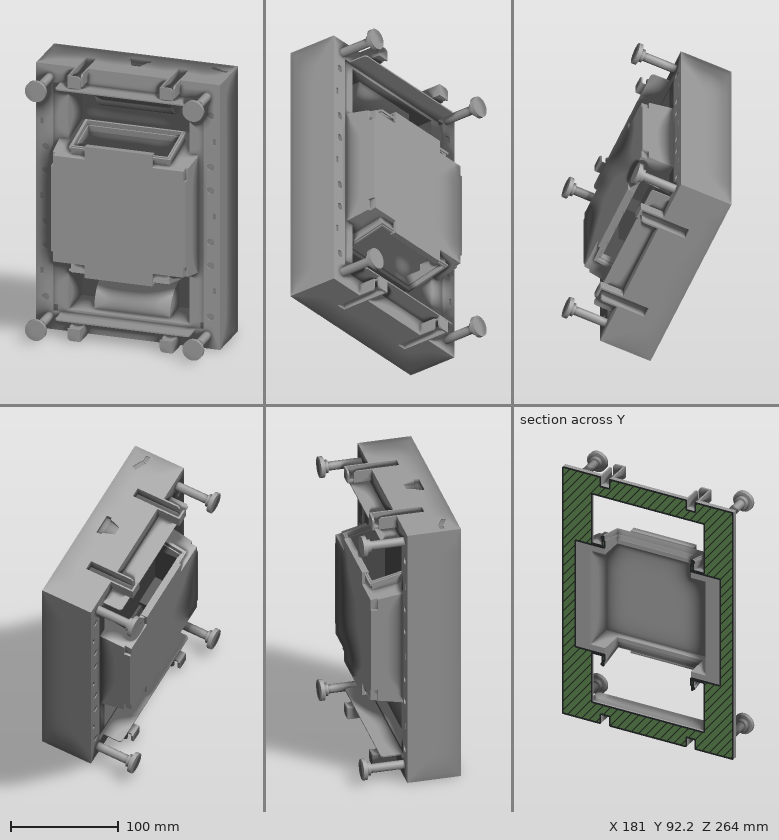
import cadquery as cq
import math

HOUSING_WIDTH = 181.0
HOUSING_HEIGHT = 264.0
HOUSING_DEPTH = 51.5

POCKET_WIDTH = 118.8
POCKET_HEIGHT = 223.0
POCKET_DEPTH = 39.0
POCKET_DRAFT = 1.5

RECESS_WIDTH = 148.0
RECESS_HEIGHT = 228.7
RECESS_DEPTH = 2.5
RELIEF_WIDTH = 4.0
RELIEF_HEIGHT = 6.5
RELIEF_DEPTH = 4.8

ROLL_LENGTH = 74.5
ROLL_RADIUS = 27.7

FLAP_WIDTH = 132.0
FLAP_REACH = 18.8
FLAP_THICKNESS = 1.3
FLAP_CORNER = 3.2

HOOK_X = 45.5
HOOK_WIDTH = 12.7
HOOK_HEIGHT = 12.0
HOOK_REACH = 23.2
HOOK_CORNER = 4.0
GROOVE_WIDTH = 9.5
GROOVE_DEPTH = 10.0
GROOVE_END = 27.0
TIP_THICKNESS = 1.8
CHEEK_GAP = 4.2
CHEEK_CORNER = 2.5

SCREW_X = 77.5
SCREW_Z = 119.0
SHANK_DIAMETER = 8.5
COLLAR_DIAMETER = 12.7
FOOT_DIAMETER = 20.3
SHANK_LENGTH = 32.7
COLLAR_LENGTH = 4.0
FOOT_LENGTH = 4.0

RAIL_HOLE_X = 81.0
RAIL_HOLE_DIAMETER = 6.9
RAIL_HOLE_DEPTH = 1.3
RAIL_HOLE_HEIGHTS = (25.5, 49.0, 100.4)
RAIL_SLOT_X = 84.8
RAIL_SLOT_WIDTH = 3.0
RAIL_SLOT_HEIGHT = 6.3
RAIL_SLOT_DEPTH = 1.3
RAIL_SLOT_PITCH = 74.5

GRIP_BACK = 37.8
GRIP_STEP = 32.7
GRIP_FRONT = 21.5
GRIP_WIDTH = 20.5
GRIP_RAMP_WIDTH = 17.0
GRIP_END_WIDTH = 8.5
GRIP_DEPTH = 4.0
GRIP_END_DEPTH = 0.8
LEVER_X = 73.5
LEVER_Y = 38.0
LEVER_LENGTH = 11.5
LEVER_WIDTH = 4.5
LEVER_TILT = -28.0
LEVER_DEPTH = 1.0
LEVER_STOP_X = 82.5
LEVER_STOP_Y = 34.9
LEVER_STOP_WIDTH = 6.3
LEVER_STOP_HEIGHT = 4.2

COVER_REACH = 28.3
COVER_FRONT_WIDTH = 132.0
COVER_FRONT_HEIGHT = 105.6
COVER_BASE_WIDTH = 136.8
COVER_BASE_HEIGHT = 116.7
TAB_WIDTH = 66.5
TAB_HEIGHT = 131.0
TAB_THICKNESS = 2.6
TAB_LIP_DEPTH = 6.3
TAB_LIP_HEIGHT = 1.3
CORNER_CUT_WIDTH = 2.0
CORNER_CUT_HEIGHT = 10.0
CORNER_CUT_DEPTH = 6.3

CHAMBER_WIDTH = 153.2
CHAMBER_HEIGHT = 113.5
CHAMBER_FRONT = 5.3
CHAMBER_BACK = 22.7
COVER_CAVITY_WIDTH = 121.5
COVER_CAVITY_HEIGHT = 100.4
THROAT_FRONT = -18.5
THROAT_HEIGHT = 137.3

FRAME_TILT = math.radians(13)
FRAME_Y = -1.8
FRAME_Z = 68.1
FRAME_WIDTH = 99.3
FRAME_SPAN = 48.5
FRAME_DEPTH = 15.8
RIM_INSET = 1.5
RIM_HEIGHT = 1.0
FLANGE_HEIGHT = 2.0
BODY_INSET = 1.3
MOUTH_INSET = 3.2
MOUTH_DEPTH = 5.0
OPENING_INSET = 4.2


def box(width, height, y_front, y_back, x=0.0, z=0.0):
    """Block centred on (x, z), spanning y_front to y_back."""
    depth = y_back - y_front
    return cq.Workplane("XY").box(width, depth, height).translate((x, (y_front + y_back) / 2, z))


def rod(diameter, y_front, y_back, x, z):
    """Round bar along Y."""
    return cq.Workplane("XZ", origin=(x, y_back, z)).circle(diameter / 2).extrude(y_back - y_front)


def side_extrusion(points, width):
    """Closed (Y, Z) outline made into a solid centred on X = 0."""
    return cq.Workplane("YZ").polyline(points).close().extrude(width / 2, both=True)


def both_ends(shape):
    """The shape together with its copy turned half a turn about Y."""
    return shape.union(shape.rotate((0, 0, 0), (0, 1, 0), 180))


def pocket_space():
    """Drafted opening in the front of the housing."""
    sketch = cq.Workplane("XZ").rect(POCKET_WIDTH, POCKET_HEIGHT)
    return sketch.extrude(-POCKET_DEPTH, taper=POCKET_DRAFT)


def roll():
    """Quarter round in the upper end of the pocket."""
    pocket_top = POCKET_HEIGHT / 2
    full = cq.Workplane("YZ", origin=(0, POCKET_DEPTH, pocket_top)).circle(ROLL_RADIUS)
    cylinder = full.extrude(ROLL_LENGTH / 2, both=True)
    y_front = POCKET_DEPTH - ROLL_RADIUS
    overlap = 2.6
    quarter = box(
        ROLL_LENGTH, ROLL_RADIUS + overlap, y_front, POCKET_DEPTH + overlap,
        z=pocket_top - (ROLL_RADIUS - overlap) / 2,
    )
    return cylinder.intersect(quarter)


def flap():
    """Thin shelf above the recess, with rounded front corners."""
    z = (RECESS_HEIGHT + FLAP_THICKNESS) / 2
    shelf = box(FLAP_WIDTH, FLAP_THICKNESS, -FLAP_REACH, RELIEF_DEPTH, z=z)
    return shelf.edges("|Z and <Y").fillet(FLAP_CORNER)


def hook_block(x):
    """Hook with a rounded outer +X corner at its tip."""
    z = (HOUSING_HEIGHT - HOOK_HEIGHT) / 2
    tip_back = TIP_THICKNESS - HOOK_REACH
    body = box(HOOK_WIDTH, HOOK_HEIGHT, tip_back, RECESS_DEPTH, x, z)
    tip = box(HOOK_WIDTH, HOOK_HEIGHT, -HOOK_REACH, tip_back, x, z)
    return body.union(tip.edges("|Y and >X and >Z").fillet(HOOK_CORNER))


def hook_groove(x):
    """Groove along the hook and into the housing, with a gap in the +X cheek behind the tip."""
    top = HOUSING_HEIGHT / 2
    front = TIP_THICKNESS - HOOK_REACH
    back = front + CHEEK_GAP
    groove = box(GROOVE_WIDTH, GROOVE_DEPTH, front, GROOVE_END, x, top - GROOVE_DEPTH / 2)
    gap = (
        cq.Workplane("YZ", origin=(x + GROOVE_WIDTH / 2, 0, 0))
        .moveTo(front, top - HOOK_HEIGHT)
        .lineTo(back, top - HOOK_HEIGHT)
        .lineTo(back, top - CHEEK_CORNER)
        .lineTo(back + CHEEK_CORNER, top)
        .lineTo(front, top)
        .close()
        .extrude((HOOK_WIDTH - GROOVE_WIDTH) / 2)
    )
    return groove.union(gap)


def screw(x, z):
    collar_start = -SHANK_LENGTH
    foot_start = collar_start - COLLAR_LENGTH
    shank = rod(SHANK_DIAMETER, collar_start, RELIEF_DEPTH, x, z)
    collar = rod(COLLAR_DIAMETER, foot_start, collar_start, x, z)
    foot = rod(FOOT_DIAMETER, foot_start - FOOT_LENGTH, foot_start, x, z)
    return shank.union(collar).union(foot)


def grip_pocket():
    """Recess in the top face with a ramp that narrows and rises toward the front."""
    top = HOUSING_HEIGHT / 2
    step = box(GRIP_WIDTH, GRIP_DEPTH, GRIP_STEP, GRIP_BACK, z=top - GRIP_DEPTH / 2)
    ramp = side_extrusion(
        [(GRIP_STEP, top), (GRIP_STEP, top - GRIP_DEPTH),
         (GRIP_FRONT, top - GRIP_END_DEPTH), (GRIP_FRONT, top)],
        GRIP_WIDTH,
    )
    funnel = (
        cq.Workplane("XY", origin=(0, 0, top - GRIP_DEPTH))
        .polyline([(-GRIP_RAMP_WIDTH / 2, GRIP_STEP), (GRIP_RAMP_WIDTH / 2, GRIP_STEP),
                   (GRIP_END_WIDTH / 2, GRIP_FRONT), (-GRIP_END_WIDTH / 2, GRIP_FRONT)])
        .close()
        .extrude(GRIP_DEPTH)
    )
    return step.union(ramp.intersect(funnel))


def lever_mark():
    """Shallow tilted slot and its square stop in the top face."""
    floor = cq.Workplane("XY", origin=(0, 0, HOUSING_HEIGHT / 2 - LEVER_DEPTH))
    slot = (
        floor.center(LEVER_X, LEVER_Y)
        .transformed(rotate=(0, 0, LEVER_TILT))
        .rect(LEVER_LENGTH, LEVER_WIDTH)
        .extrude(LEVER_DEPTH)
    )
    stop = floor.center(LEVER_STOP_X, LEVER_STOP_Y).rect(LEVER_STOP_WIDTH, LEVER_STOP_HEIGHT)
    return slot.union(stop.extrude(LEVER_DEPTH))


def frame_point(across, drop):
    """(Y, Z) of a point at a signed distance across the upper frame and a drop below its rim."""
    y = FRAME_Y + across * math.cos(FRAME_TILT) + drop * math.sin(FRAME_TILT)
    z = FRAME_Z + across * math.sin(FRAME_TILT) - drop * math.cos(FRAME_TILT)
    return y, z


def frame_layer(inset, top_drop, bottom_drop):
    """Tilted rectangular slab of the upper frame, set in from the frame's outer wall."""
    half_span = FRAME_SPAN / 2 - inset
    corners = [
        frame_point(-half_span, top_drop), frame_point(half_span, top_drop),
        frame_point(half_span, bottom_drop), frame_point(-half_span, bottom_drop),
    ]
    return side_extrusion(corners, FRAME_WIDTH - 2 * inset)


def make_frame():
    """Upper frame with a rim, a flange and a stepped mouth, its foot shaped to the slope of the cover."""
    rim = frame_layer(RIM_INSET, 0, RIM_HEIGHT)
    flange_bottom = RIM_HEIGHT + FLANGE_HEIGHT
    flange = frame_layer(0, RIM_HEIGHT, flange_bottom)
    frame = rim.union(flange).union(frame_layer(BODY_INSET, flange_bottom, FRAME_DEPTH))
    frame = frame.cut(frame_layer(MOUTH_INSET, 0, MOUTH_DEPTH))
    frame = frame.cut(frame_layer(OPENING_INSET, 0, FRAME_DEPTH))
    return frame.cut(cover_body())


def cover_body():
    """Tapered cover seated in the recess, its plug filling the middle of the pocket."""
    base_to_front = COVER_REACH + RECESS_DEPTH
    shell = (
        cq.Workplane("XZ", origin=(0, RECESS_DEPTH, 0))
        .rect(COVER_BASE_WIDTH, COVER_BASE_HEIGHT)
        .workplane(offset=base_to_front)
        .rect(COVER_FRONT_WIDTH, COVER_FRONT_HEIGHT)
        .loft(ruled=True)
    )
    slope = (COVER_BASE_HEIGHT - COVER_FRONT_HEIGHT) / base_to_front
    plug_end = COVER_BASE_HEIGHT + slope * (POCKET_DEPTH - RECESS_DEPTH)
    wedge = side_extrusion(
        [(RECESS_DEPTH, -COVER_BASE_HEIGHT / 2), (RECESS_DEPTH, COVER_BASE_HEIGHT / 2),
         (POCKET_DEPTH, plug_end / 2), (POCKET_DEPTH, -plug_end / 2)],
        POCKET_WIDTH,
    )
    return shell.union(wedge.intersect(pocket_space()))


def cover():
    """Cover with cut corners and a lipped tab on each end."""
    body = cover_body()
    cut_x = COVER_BASE_WIDTH / 2
    cut_back = CORNER_CUT_DEPTH - COVER_REACH
    for side in (-1, 1):
        for end in (-1, 1):
            cut_z = end * (COVER_BASE_HEIGHT / 2 + COVER_FRONT_HEIGHT / 2 - CORNER_CUT_HEIGHT) / 2
            cut_height = COVER_BASE_HEIGHT / 2 - COVER_FRONT_HEIGHT / 2 + CORNER_CUT_HEIGHT
            width = 2 * CORNER_CUT_WIDTH + COVER_BASE_WIDTH - COVER_FRONT_WIDTH
            body = body.cut(box(width, cut_height, -COVER_REACH, cut_back, side * cut_x, cut_z))

    tab = box(TAB_WIDTH, TAB_HEIGHT, -COVER_REACH, TAB_THICKNESS - COVER_REACH)
    lip_z = (TAB_HEIGHT - TAB_LIP_HEIGHT) / 2
    lip = box(TAB_WIDTH, TAB_LIP_HEIGHT, -COVER_REACH, TAB_LIP_DEPTH - COVER_REACH, z=lip_z)
    return body.union(tab).union(both_ends(lip))


def chamber():
    """Hollow inside the cover, the wider space behind it and the throat that opens both ends."""
    cavity_front = TAB_THICKNESS - COVER_REACH
    cavity = box(COVER_CAVITY_WIDTH, COVER_CAVITY_HEIGHT, cavity_front, CHAMBER_FRONT)
    rear = box(CHAMBER_WIDTH, CHAMBER_HEIGHT, CHAMBER_FRONT, CHAMBER_BACK)
    throat_width = FRAME_WIDTH - 2 * OPENING_INSET
    throat = box(throat_width, THROAT_HEIGHT, THROAT_FRONT, CHAMBER_BACK)
    return cavity.union(rear).union(throat)


def make_housing():
    """Housing with its screws, hooks, flaps and hollow cover."""
    housing = box(HOUSING_WIDTH, HOUSING_HEIGHT, 0, HOUSING_DEPTH)
    housing = housing.cut(box(RECESS_WIDTH, RECESS_HEIGHT, 0, RECESS_DEPTH))
    housing = housing.cut(pocket_space())
    housing = housing.union(both_ends(roll()))

    for side in (-1, 1):
        for end in (-1, 1):
            relief_x = side * (RECESS_WIDTH - RELIEF_WIDTH) / 2
            relief_z = end * (RECESS_HEIGHT - RELIEF_HEIGHT) / 2
            housing = housing.cut(box(RELIEF_WIDTH, RELIEF_HEIGHT, 0, RELIEF_DEPTH, relief_x, relief_z))
            housing = housing.union(screw(side * SCREW_X, end * SCREW_Z))
            for height in RAIL_HOLE_HEIGHTS:
                housing = housing.cut(
                    rod(RAIL_HOLE_DIAMETER, 0, RAIL_HOLE_DEPTH, side * RAIL_HOLE_X, end * height)
                )
        for row in (-1, 0, 1):
            slot_z = row * RAIL_SLOT_PITCH
            housing = housing.cut(
                box(RAIL_SLOT_WIDTH, RAIL_SLOT_HEIGHT, 0, RAIL_SLOT_DEPTH, side * RAIL_SLOT_X, slot_z)
            )

    housing = housing.union(both_ends(flap()))
    for x in (-HOOK_X, HOOK_X):
        housing = housing.union(both_ends(hook_block(x)))
        housing = housing.cut(both_ends(hook_groove(x)))
    housing = housing.cut(grip_pocket()).cut(lever_mark())
    return housing.union(cover()).cut(chamber())


housing = make_housing()
upper_frame = make_frame()
frames = [upper_frame.rotate((0, 0, 0), (0, 1, 0), angle) for angle in (0, 180)]

result = cq.Compound.makeCompound([housing.val(), *[frame.val() for frame in frames]])